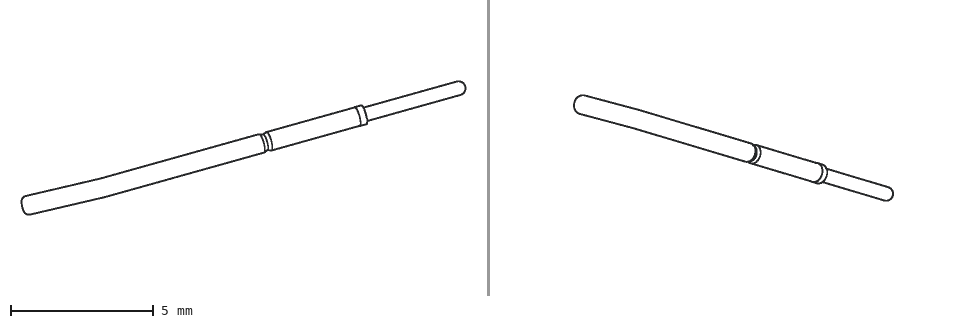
import cadquery as cq
import math

total_length = 16.5

plunger_diameter = 0.5
collar_diameter = 0.7
barrel_diameter = 0.68
groove_diameter = 0.58

collar_start = 3.8
collar_end = 4.05
groove_start = 7.35
groove_end = 7.62
bend_start = 13.5

bend_length = 0.15
bend_angle = 3.2
tail_round = 0.18

plunger_radius = plunger_diameter / 2
collar_radius = collar_diameter / 2
barrel_radius = barrel_diameter / 2
groove_radius = groove_diameter / 2
tip_y = total_length / 2
bend_y = tip_y - bend_start


def make_straight_length():
    """Plunger, collar and V-grooved barrel, revolved about Y."""
    dome_centre_y = tip_y - plunger_radius
    dome_mid = plunger_radius * math.sqrt(0.5)
    profile = (
        cq.Workplane("XY")
        .moveTo(0, tip_y)
        .threePointArc((dome_mid, dome_centre_y + dome_mid), (plunger_radius, dome_centre_y))
        .lineTo(plunger_radius, tip_y - collar_start)
        .lineTo(collar_radius, tip_y - collar_start)
        .lineTo(collar_radius, tip_y - collar_end)
        .lineTo(barrel_radius, tip_y - collar_end)
        .lineTo(barrel_radius, tip_y - groove_start)
        .lineTo(groove_radius, tip_y - (groove_start + groove_end) / 2)
        .lineTo(barrel_radius, tip_y - groove_end)
        .lineTo(barrel_radius, bend_y)
        .lineTo(0, bend_y)
        .close()
    )
    return profile.revolve(360, (0, 0, 0), (0, 1, 0))


def make_tail():
    """Barrel section swept round the bend toward -X, with a rounded end."""
    angle = math.radians(bend_angle)
    bend_radius = bend_length / math.sin(angle)

    def bend_point(turn):
        return (-bend_radius * (1 - math.cos(turn)), bend_y - bend_radius * math.sin(turn))

    bend_end_x, bend_end_y = bend_point(angle)

    flat_radius = barrel_radius - tail_round
    end_centre_y = -tip_y + flat_radius * math.sin(angle)
    end_centre_x = bend_end_x - (bend_end_y - end_centre_y) * math.tan(angle)
    path = (
        cq.Workplane("XY")
        .moveTo(0, bend_y)
        .threePointArc(bend_point(angle / 2), (bend_end_x, bend_end_y))
        .lineTo(end_centre_x, end_centre_y)
    )
    section = cq.Workplane("XZ", origin=(0, bend_y, 0)).circle(barrel_radius)
    return section.sweep(path).faces("<Y").edges().fillet(tail_round)


result = make_straight_length().union(make_tail())